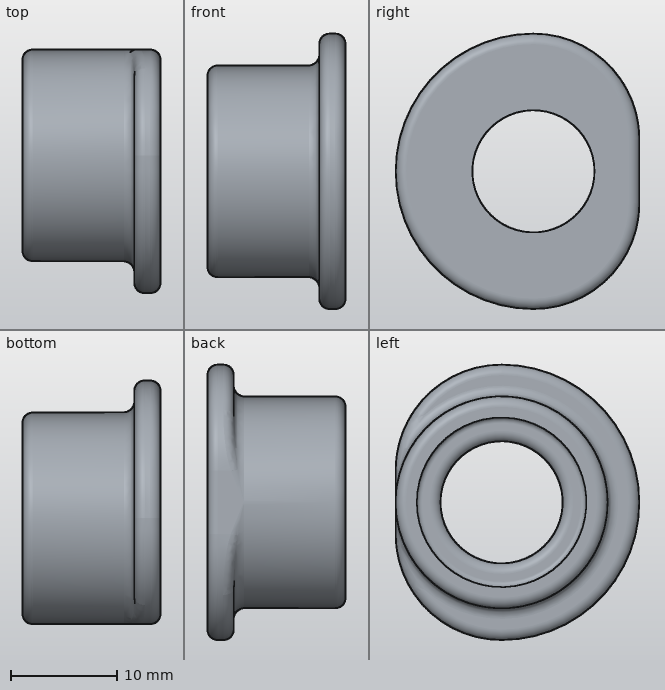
import cadquery as cq
import math

length = 13.05
collar_thickness = 2.5
sleeve_length = length - collar_thickness
floor_thickness = 2.0
bore_depth = length - floor_thickness

sleeve_radius = 10.0
bore_radius = 8.0
hole_radius = 5.75
collar_radius = 13.0

edge_radius = 1.0
root_radius = 1.0
bore_corner_radius = 0.5

flush_arc_offset = collar_radius - sleeve_radius

root_inset = 0.002

tolerance = 0.001

mid_arc = math.sqrt(0.5)


def collar_outline():
    """Half circle on -Y; two sleeve-radius arcs joined by a flat on +Y."""
    diagonal = sleeve_radius * mid_arc
    return (
        cq.Workplane("YZ", origin=(sleeve_length, 0, 0))
        .moveTo(0, collar_radius)
        .threePointArc((-collar_radius, 0), (0, -collar_radius))
        .threePointArc(
            (diagonal, -flush_arc_offset - diagonal),
            (sleeve_radius, -flush_arc_offset),
        )
        .lineTo(sleeve_radius, flush_arc_offset)
        .threePointArc(
            (diagonal, flush_arc_offset + diagonal),
            (0, collar_radius),
        )
        .close()
    )


def make_root_flare():
    """Concave flare from the sleeve to the collar, trimmed to the collar outline."""
    start_x = sleeve_length - root_radius
    start_radius = sleeve_radius - root_inset
    end_radius = start_radius + root_radius
    diagonal = root_radius * mid_arc
    flare = (
        cq.Workplane("XY")
        .moveTo(start_x, 0)
        .lineTo(start_x, start_radius)
        .threePointArc((start_x + diagonal, end_radius - diagonal), (sleeve_length, end_radius))
        .lineTo(sleeve_length, 0)
        .close()
        .revolve(360, (0, 0, 0), (1, 0, 0))
    )
    return flare.intersect(collar_outline().extrude(-root_radius))


def is_sleeve_side_rim(edge):
    """True for edges of the collar's side wall that face the sleeve."""
    box = edge.BoundingBox()
    between_flare_and_collar = (
        box.xmin > sleeve_length - root_radius + tolerance and box.xmax < sleeve_length + tolerance
    )
    reaches_wall = (
        max(box.zmax, -box.zmin) > collar_radius - tolerance or box.ymax > sleeve_radius - tolerance
    )
    return between_flare_and_collar and reaches_wall


def make_collar():
    """Collar with its root flare and both outer rims rounded."""
    collar = collar_outline().extrude(collar_thickness).union(make_root_flare())
    rim = [edge for edge in collar.edges().vals() if is_sleeve_side_rim(edge)]
    collar = collar.newObject(rim).fillet(edge_radius)
    return collar.faces(">X").edges().fillet(edge_radius)


def make_sleeve():
    sleeve = cq.Workplane("YZ").circle(sleeve_radius).extrude(sleeve_length)
    return sleeve.faces("<X").edges().fillet(edge_radius)


def make_bore():
    """Cutter: bore with a rounded bottom corner, then a rounded lip into the smaller hole."""
    corner_x = bore_depth - bore_corner_radius
    corner_inner_radius = bore_radius - bore_corner_radius
    lip_x = bore_depth + edge_radius
    lip_outer_radius = hole_radius + edge_radius
    return (
        cq.Workplane("XY")
        .moveTo(0, 0)
        .lineTo(0, bore_radius)
        .lineTo(corner_x, bore_radius)
        .threePointArc(
            (corner_x + bore_corner_radius * mid_arc, corner_inner_radius + bore_corner_radius * mid_arc),
            (bore_depth, corner_inner_radius),
        )
        .lineTo(bore_depth, lip_outer_radius)
        .threePointArc(
            (lip_x - edge_radius * mid_arc, lip_outer_radius - edge_radius * mid_arc),
            (lip_x, hole_radius),
        )
        .lineTo(length, hole_radius)
        .lineTo(length, 0)
        .close()
        .revolve(360, (0, 0, 0), (1, 0, 0))
    )


result = make_collar().union(make_sleeve()).cut(make_bore())